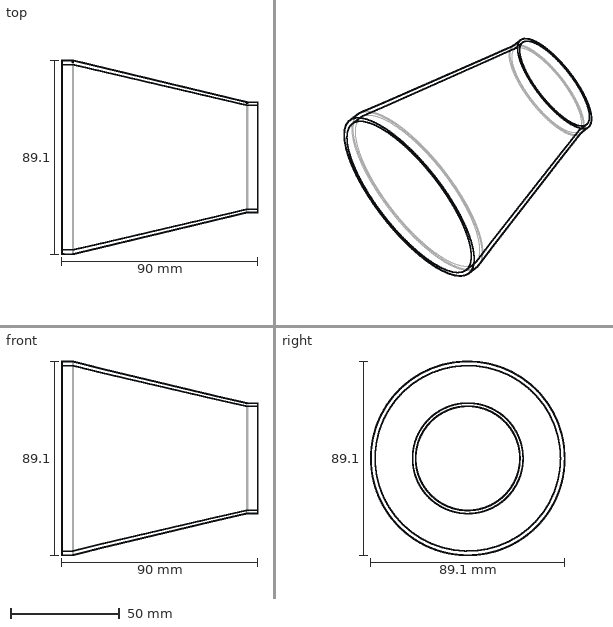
import cadquery as cq

length = 90.0
collar_length = 5.0
large_outer_radius = 89.1 / 2
large_inner_radius = 85.1 / 2
small_outer_radius = 50.8 / 2
small_inner_radius = 47.8 / 2
bend_radius = 2.5


def turned_solid(large_radius, small_radius):
    """Solid of revolution about X: large collar, cone, small collar."""
    return (
        cq.Workplane("XY")
        .polyline([
            (0, 0),
            (0, large_radius),
            (collar_length, large_radius),
            (length - collar_length, small_radius),
            (length, small_radius),
            (length, 0),
        ])
        .close()
        .revolve(360, (0, 0, 0), (1, 0, 0))
    )


def round_bends(body):
    """Round the two circular edges where the collars meet the cone."""
    return body.edges("%CIRCLE").edges("not(<X or >X)").fillet(bend_radius)


outside = round_bends(turned_solid(large_outer_radius, small_outer_radius))
bore = turned_solid(large_inner_radius, small_inner_radius)
result = outside.cut(bore)